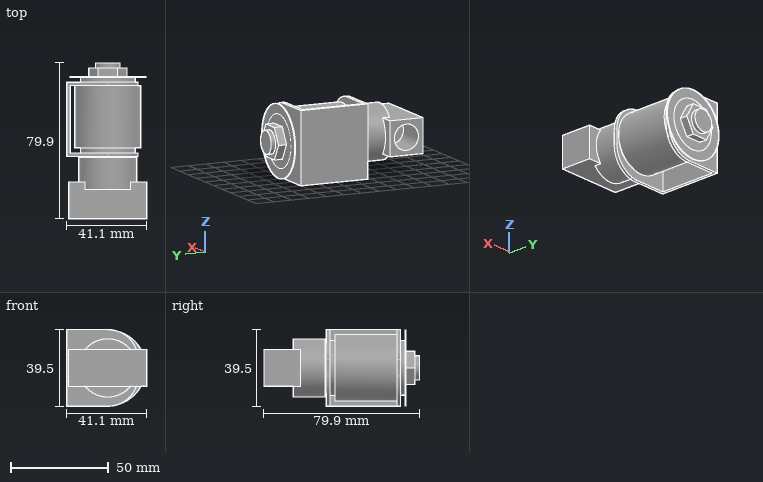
import cadquery as cq

overall_length = 79.9

block_length = 40.05
block_side = 18.95
port_radius = 6.9
port_depth = 17.6

boss_radius = 14.95
boss_start = 15.0
boss_end = 31.5
neck_radius = 12.9
spool_radius = 14.15
coil_radius = 17.0
coil_start = 36.45
washer_radius = 19.5
washer_start = 72.4
washer_end = 72.9
nut_end = 77.45
nut_across_corners = 19.75
stud_radius = 6.3

bracket_thickness = 1.9
bracket_height = 39.5
bracket_left = 21.1
bracket_right = 15.5
bracket_start = 32.0
bracket_end = 70.2
inner_start = bracket_start + bracket_thickness
inner_end = bracket_end - bracket_thickness


def along_y(start):
    """Workplane square to the valve axis at a given Y, extruding toward +Y."""
    return cq.Workplane("XZ", origin=(0, start, 0)).workplane(invert=True)


def cylinder(radius, start, end):
    return along_y(start).circle(radius).extrude(end - start)


def make_block():
    return cq.Workplane("XY", origin=(0, block_side / 2, 0)).box(block_length, block_side, block_side)


def make_port():
    """Blind bore entering the block from its left end."""
    left_end = (-block_length / 2, block_side / 2, 0)
    return cq.Workplane("YZ", origin=left_end).circle(port_radius).extrude(port_depth)


def make_nut():
    return along_y(washer_end).polygon(6, nut_across_corners).extrude(nut_end - washer_end)


def make_valve():
    """Port block, stepped stem, coil, washer, nut and stud as one solid."""
    steps = [
        (boss_radius, boss_start, boss_end),
        (neck_radius, boss_end, inner_start),
        (spool_radius, inner_start, coil_start),
        (coil_radius, coil_start, inner_end),
        (neck_radius, inner_end, bracket_end),
        (spool_radius, bracket_end, washer_start),
        (washer_radius, washer_start, washer_end),
        (stud_radius, nut_end, overall_length),
    ]
    body = make_block()
    for radius, start, end in steps:
        body = body.union(cylinder(radius, start, end))
    return body.union(make_nut()).cut(make_port())


def make_bracket():
    """Back plate with two round-cornered arms, each bored for the neck."""
    width = bracket_left + bracket_right
    arms = (
        along_y(bracket_start)
        .center((bracket_right - bracket_left) / 2, 0)
        .rect(width, bracket_height)
        .extrude(bracket_end - bracket_start)
        .edges("|Y and >X")
        .fillet(bracket_right)
    )
    opening = (
        cq.Workplane("XY", origin=(bracket_thickness - bracket_left, inner_start, 0))
        .box(width, inner_end - inner_start, bracket_height, centered=(False, False, True))
    )
    return arms.cut(opening).cut(cylinder(neck_radius, bracket_start, bracket_end))


valve = make_valve()
bracket = make_bracket()

result = cq.Compound.makeCompound([valve.val(), bracket.val()])